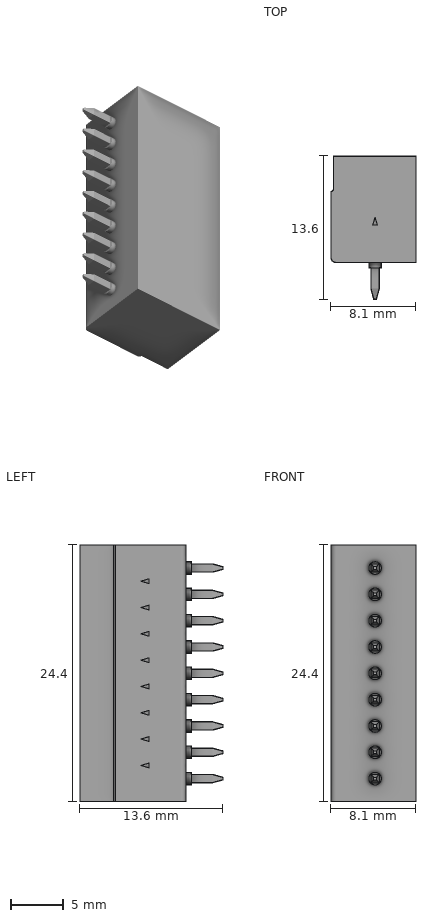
import cadquery as cq

pin_count = 9
pin_pitch = 2.5
row_length = (pin_count - 1) * pin_pitch

end_margin = 2.2
housing_width = 8.1
housing_depth = 10.1
housing_length = row_length + 2 * end_margin
pin_offset = 4.2
left = -pin_offset
right = left + housing_width
edge_radius = 0.5
step_recess = 0.25
step_length = 3.2
step_slope = 0.2

pin_reach = 3.5
pin_size = 0.8
tip_length = 1.0
tip_size = 0.25
collar_diameter = 1.2
collar_length = 0.5

mark_base = 0.45
mark_height = 0.75
mark_start = 3.55
mark_depth = 0.1


def make_housing():
    """Extrude the stepped XY profile along Z and round the front left edge."""
    step_end = housing_depth - step_length
    profile = [
        (left, 0),
        (right, 0),
        (right, housing_depth),
        (left + step_recess, housing_depth),
        (left + step_recess, step_end),
        (left, step_end - step_slope),
    ]
    block = (
        cq.Workplane("XY")
        .workplane(offset=-housing_length / 2)
        .polyline(profile)
        .close()
        .extrude(housing_length)
    )
    front_left_edge = cq.selectors.NearestToPointSelector((left, 0, 0))
    return block.edges(front_left_edge).fillet(edge_radius)


def make_pin(z):
    """Round collar, square shank and tapered tip, all running along -Y."""
    shank_length = pin_reach - tip_length
    base = cq.Workplane("XZ", origin=(0, 0, z))
    collar = base.circle(collar_diameter / 2).extrude(collar_length)
    shank = base.rect(pin_size, pin_size).extrude(shank_length)
    tip = (
        base.workplane(offset=shank_length)
        .rect(pin_size, pin_size)
        .workplane(offset=tip_length)
        .rect(tip_size, tip_size)
        .loft(ruled=True)
    )
    return collar.union(shank).union(tip)


def make_mark(plane):
    """Triangular cutter below the face of a plane whose local y runs along +Y."""
    return (
        cq.Workplane(plane)
        .polyline([
            (-mark_base / 2, mark_start),
            (mark_base / 2, mark_start),
            (0, mark_start + mark_height),
        ])
        .close()
        .extrude(-mark_depth)
    )


result = make_housing()

for i in range(pin_count):
    result = result.union(make_pin(i * pin_pitch - row_length / 2))

end_plane = cq.Plane(origin=(0, 0, housing_length / 2), xDir=(1, 0, 0), normal=(0, 0, 1))
result = result.cut(make_mark(end_plane))

for i in range(pin_count - 1):
    mark_z = (i + 0.5) * pin_pitch - row_length / 2
    side_plane = cq.Plane(origin=(left, 0, mark_z), xDir=(0, 0, 1), normal=(-1, 0, 0))
    result = result.cut(make_mark(side_plane))